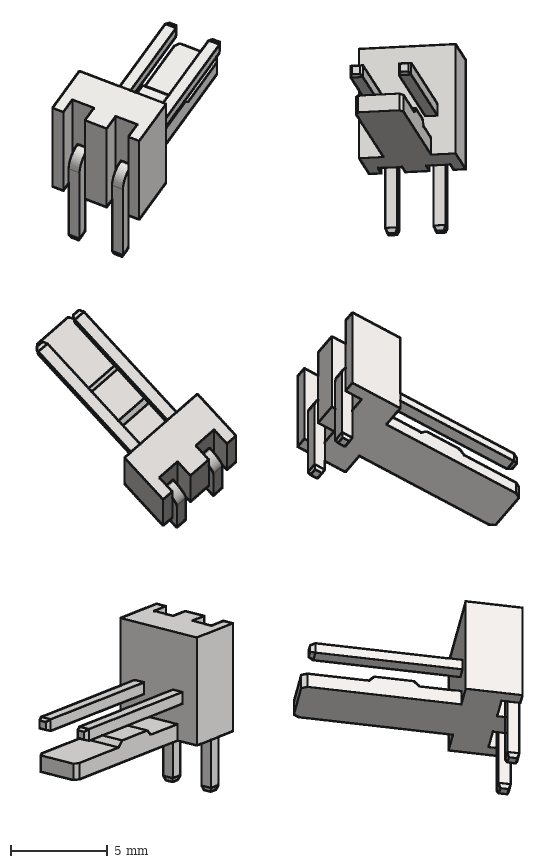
import cadquery as cq

body_width = 5.08
body_depth = 3.0
body_height = 5.9
slot_width = 1.27
slot_depth = 1.0

pin_pitch = body_width / 2
pin_size = 0.64
pin_back = 11.0
pin_bottom = -3.4
pin_top = 2.72
bend_radius = 0.91
tip_length = 0.26
tip_inset = 0.1

tab_width = 2.51
tab_back = 11.4
tab_thickness = 0.9
tab_corner_width = 0.17
tab_corner_length = 0.3
ramp_start = 5.2
ramp_end = 7.87
ramp_height = 1.21
ramp_run = 0.3

pin_positions = (-pin_pitch / 2, pin_pitch / 2)


def make_housing():
    housing = cq.Workplane("XY").box(
        body_width, body_depth, body_height, centered=(True, False, False)
    )
    for x in pin_positions:
        slot = cq.Workplane("XY").box(
            slot_width, slot_depth, body_height, centered=(True, False, False)
        )
        housing = housing.cut(slot.translate((x, 0, 0)))
    return housing


def make_tip(direction, origin):
    """Tapered pin end, growing from the origin in the given direction."""
    tip_size = pin_size - 2 * tip_inset
    return (
        cq.Workplane(cq.Plane(origin=origin, xDir=(1, 0, 0), normal=direction))
        .rect(pin_size, pin_size)
        .workplane(offset=tip_length)
        .rect(tip_size, tip_size)
        .loft(combine=True)
    )


def make_pin(x):
    shank_back = pin_back - tip_length
    shank_bottom = pin_bottom + tip_length
    bend_z = pin_top - bend_radius
    inner_radius = bend_radius - pin_size
    diagonal = 0.5 ** 0.5
    shank = (
        cq.Workplane("YZ")
        .moveTo(0, shank_bottom)
        .lineTo(0, bend_z)
        .threePointArc(
            (bend_radius * (1 - diagonal), bend_z + bend_radius * diagonal),
            (bend_radius, pin_top),
        )
        .lineTo(shank_back, pin_top)
        .lineTo(shank_back, pin_top - pin_size)
        .lineTo(bend_radius, pin_top - pin_size)
        .threePointArc(
            (bend_radius - inner_radius * diagonal, bend_z + inner_radius * diagonal),
            (pin_size, bend_z),
        )
        .lineTo(pin_size, shank_bottom)
        .close()
        .extrude(pin_size / 2, both=True)
    )
    back_tip = make_tip((0, 1, 0), (0, shank_back, pin_top - pin_size / 2))
    bottom_tip = make_tip((0, 0, -1), (0, pin_size / 2, shank_bottom))
    return shank.union(back_tip).union(bottom_tip).translate((x, 0, 0))


def make_tab():
    half_width = tab_width / 2
    profile = (
        cq.Workplane("YZ")
        .polyline([
            (body_depth, 0),
            (tab_back, 0),
            (tab_back, tab_thickness),
            (ramp_end, tab_thickness),
            (ramp_end - ramp_run, ramp_height),
            (ramp_start + ramp_run, ramp_height),
            (ramp_start, tab_thickness),
            (body_depth, tab_thickness),
        ])
        .close()
        .extrude(half_width, both=True)
    )
    outline = (
        cq.Workplane("XY")
        .polyline([
            (-half_width, body_depth),
            (half_width, body_depth),
            (half_width, tab_back - tab_corner_length),
            (half_width - tab_corner_width, tab_back),
            (tab_corner_width - half_width, tab_back),
            (-half_width, tab_back - tab_corner_length),
        ])
        .close()
        .extrude(ramp_height)
    )
    return profile.intersect(outline)


result = make_housing().union(make_tab())
for pin_x in pin_positions:
    result = result.union(make_pin(pin_x))